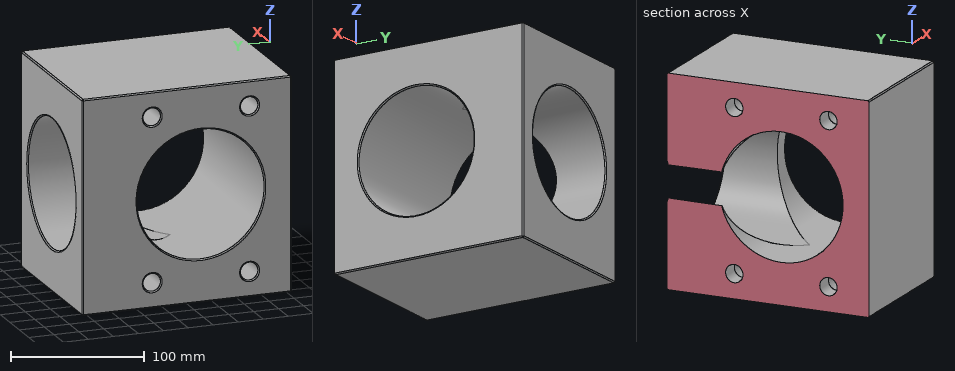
import cadquery as cq
import math

length_x = 130.0
width_y = 168.0
height_z = 170.0
edge_chamfer = 1.0

bore_diameter = 102.0
bore_y = 73.0
bore_z = height_z / 2
bore_chamfer = edge_chamfer
side_bore_x = length_x / 2

hole_diameter = 14.0
hole_chamfer = edge_chamfer
hole_depth = 30.6
hole_tip_angle = 118.0
hole_tip_depth = hole_diameter / 2 / math.tan(math.radians(hole_tip_angle / 2))
hole_spacing_y = 78.0
hole_spacing_z = 130.0


def drilled_hole(y, z):
    """Blind hole from the -X face with a chamfered mouth and a conical tip."""
    radius = hole_diameter / 2
    profile = (
        cq.Workplane("XY")
        .moveTo(0, 0)
        .lineTo(0, radius + hole_chamfer)
        .lineTo(hole_chamfer, radius)
        .lineTo(hole_depth, radius)
        .lineTo(hole_depth + hole_tip_depth, 0)
        .close()
    )
    return profile.revolve(360, (0, 0, 0), (1, 0, 0)).translate((0, y, z))


block = cq.Workplane("XY").box(length_x, width_y, height_z, centered=False)
block = block.edges().chamfer(edge_chamfer)

main_bore = (
    cq.Workplane("YZ")
    .center(bore_y, bore_z)
    .circle(bore_diameter / 2)
    .extrude(length_x)
)
block = block.cut(main_bore)
block = block.faces("<X or >X").edges("%CIRCLE").chamfer(bore_chamfer)

side_bore = (
    cq.Workplane("XZ", origin=(side_bore_x, bore_y, bore_z))
    .circle(bore_diameter / 2)
    .extrude(-(width_y - bore_y))
)
block = block.cut(side_bore)
block = block.faces(">Y").edges("%CIRCLE").chamfer(bore_chamfer)

for side_y in (-1, 1):
    for side_z in (-1, 1):
        hole_y = bore_y + side_y * hole_spacing_y / 2
        hole_z = bore_z + side_z * hole_spacing_z / 2
        block = block.cut(drilled_hole(hole_y, hole_z))

result = block